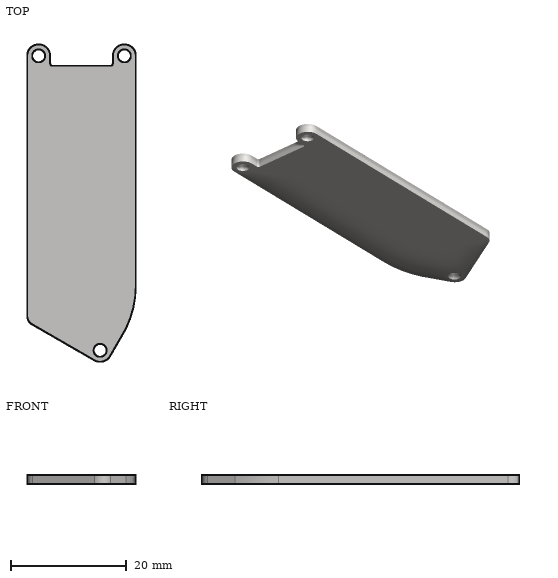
import cadquery as cq
import math

width = 18.78
length = 54.78
thickness = 1.6

hole_diameter = 2.2
lug_radius = 2.0
tip_hole_x = 12.6

notch_depth = 3.7
notch_corner_radius = 0.4

left_edge_angle = math.radians(30)
right_edge_angle = math.radians(60)
left_corner_radius = 1.72

shoulder_radius = 17.0
shoulder_inset = 1.75

right_lug_x = width - lug_radius
lug_y = length - lug_radius
notch_left_x = 2 * lug_radius
notch_right_x = width - 2 * lug_radius
notch_floor_y = length - notch_depth
hole_centers = [(lug_radius, lug_y), (right_lug_x, lug_y), (tip_hole_x, lug_radius)]

tip_x = tip_hole_x + lug_radius * (math.sin(right_edge_angle) - math.sin(left_edge_angle))
tip_y = lug_radius - lug_radius * (math.cos(right_edge_angle) + math.cos(left_edge_angle))
left_corner_y = tip_y + tip_x * math.tan(left_edge_angle)

shoulder_low_x = width - shoulder_inset
shoulder_low_y = tip_y + (shoulder_low_x - tip_x) * math.tan(right_edge_angle)
shoulder_sweep = math.acos(1 - shoulder_inset / shoulder_radius)
shoulder_center_x = width - shoulder_radius
shoulder_center_y = shoulder_low_y + shoulder_radius * math.sin(shoulder_sweep)


def shoulder_midpoint():
    """Point halfway along the shoulder arc."""
    half_sweep = shoulder_sweep / 2
    x = shoulder_center_x + shoulder_radius * math.cos(half_sweep)
    y = shoulder_center_y - shoulder_radius * math.sin(half_sweep)
    return x, y


def make_blank():
    """Plate with two round lugs, a notch, a shoulder arc and otherwise sharp corners."""
    return (
        cq.Workplane("XY")
        .moveTo(0, lug_y)
        .lineTo(0, left_corner_y)
        .lineTo(tip_x, tip_y)
        .lineTo(shoulder_low_x, shoulder_low_y)
        .threePointArc(shoulder_midpoint(), (width, shoulder_center_y))
        .lineTo(width, lug_y)
        .threePointArc((right_lug_x, length), (notch_right_x, lug_y))
        .lineTo(notch_right_x, notch_floor_y)
        .lineTo(notch_left_x, notch_floor_y)
        .lineTo(notch_left_x, lug_y)
        .threePointArc((lug_radius, length), (0, lug_y))
        .close()
        .extrude(thickness)
    )


def round_corner(plate, x, y, radius):
    """Round the vertical edge that stands at (x, y)."""
    selector = cq.selectors.NearestToPointSelector((x, y, thickness / 2))
    return plate.edges("|Z").edges(selector).fillet(radius)


def round_corners(plate):
    """Round the left corner, the tip and both inner corners of the notch."""
    plate = round_corner(plate, 0, left_corner_y, left_corner_radius)
    plate = round_corner(plate, tip_x, tip_y, lug_radius)
    for notch_x in (notch_left_x, notch_right_x):
        plate = round_corner(plate, notch_x, notch_floor_y, notch_corner_radius)
    return plate


def cut_holes(plate):
    """Drill the mounting holes through the plate."""
    drills = (
        cq.Workplane("XY")
        .pushPoints(hole_centers)
        .circle(hole_diameter / 2)
        .extrude(thickness)
    )
    return plate.cut(drills)


result = cut_holes(round_corners(make_blank()))